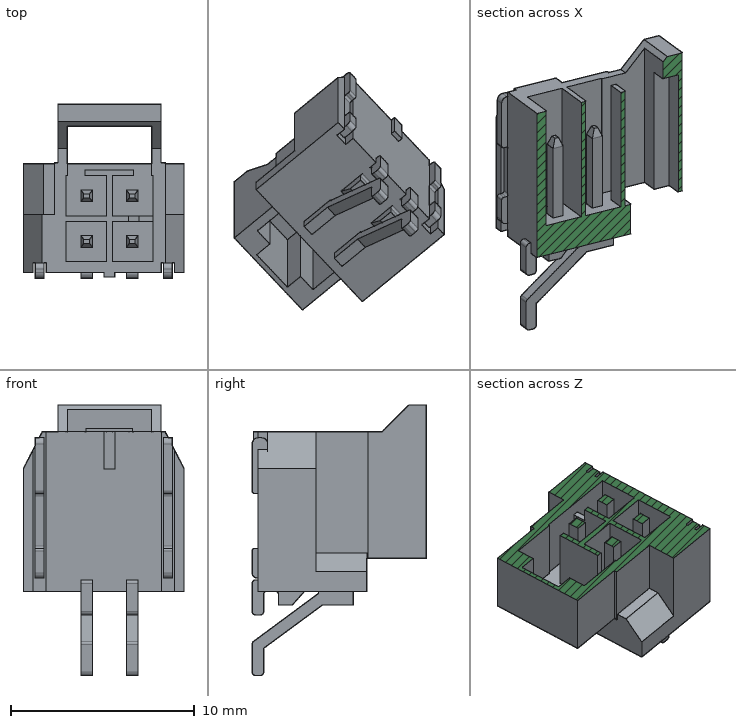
import cadquery as cq


housing_width = 8.74
housing_depth = 5.94
housing_height = 8.70
floor_height = 1.81
shoulder_half_width = 3.35
shoulder_drop = 2.00

contact_center_x = 0.31

core_left = -2.67
core_right = shoulder_half_width
core_front = 3.17
core_back = 6.00
ramp_inner_half_width = 3.27
ramp_top = 2.17
ramp_bottom = 1.10

latch_width = 5.62
latch_side_wall = 0.52
latch_back = 9.18
latch_top = 10.16
latch_top_length = 0.96
latch_wall = 1.22
latch_inner_width = latch_width - 2 * latch_side_wall
latch_bevel = latch_top - housing_height
window_width = 2.53
window_depth = 0.95
window_top = 8.86

cavity_width = 4.72
cavity_front = 0.61
cavity_depth = 4.67
cavity_back = cavity_front + cavity_depth
cavity_center_y = cavity_front + cavity_depth / 2
divider_thickness = 0.31
rail_width = 2.64
rail_depth = 0.31
notch_start = 1.04
notch_ramp = 0.58
notch_bottom = 4.50

key_width = 0.60
key_height = 2.02
key_depth = 0.24

pitch = 2.48
contact_size = 0.64
contact_top = 6.50
tip_length = 0.50
tip_width = 0.32
tip_depth = 0.22
front_row_y = cavity_center_y - pitch / 2
rear_row_y = cavity_center_y + pitch / 2
tail_front = -0.31
tail_back = tail_front + contact_size
foot_bottom = -0.74
contact_round = 0.20
inner_round = 0.13
front_tail_bottom = -1.28
front_foot_back_top = 2.54
front_foot_back_bottom = 1.88
front_foot_front = 1.115
rear_tail_bottom = -4.58
rear_foot_back = 5.21
rear_bend_top = (3.30, -0.10)
rear_bend_bottom = (3.52, foot_bottom)
rear_tail_bend_front = -2.77
rear_tail_bend_back = -3.09

nail_x = 3.49
nail_width = 0.48
slot_width = 0.71
slot_depth = 0.54
nail_web_front = 0.12
nail_top = 8.37
hook_bottom = 5.33
lower_pad_top = 2.35
lower_pad_bottom = 0.73
nail_top_round = 0.33
nail_bend_round = 0.14
nail_end_round = 0.28


def box(x_range, y_range, z_range):
    """Axis-aligned box from its three (low, high) ranges."""
    size = [high - low for low, high in (x_range, y_range, z_range)]
    corner = (x_range[0], y_range[0], z_range[0])
    return cq.Workplane("XY").box(*size, centered=False).translate(corner)


def around(center, width):
    """Range of the given width about a centre."""
    return (center - width / 2, center + width / 2)


def side_profile(points, center_x, width):
    """Plate cut to a Y-Z outline and centred on center_x."""
    plate = cq.Workplane("YZ").polyline(points).close().extrude(width / 2, both=True)
    return plate.translate((center_x, 0, 0))


def round_corner(plate, center_x, y, z, radius):
    """Round the X-parallel edge of a plate that lies at (y, z)."""
    nearest = cq.selectors.NearestToPointSelector((center_x, y, z))
    return plate.edges("|X").edges(nearest).fillet(radius)


def make_housing():
    half = housing_width / 2
    bevel_bottom = housing_height - shoulder_drop
    outline = [
        (-half, 0),
        (half, 0),
        (half, bevel_bottom),
        (shoulder_half_width, housing_height),
        (-shoulder_half_width, housing_height),
        (-half, bevel_bottom),
    ]
    front_block = cq.Workplane("XZ").polyline(outline).close().extrude(-core_front)
    ramp_outline = [
        (-half, 0),
        (half, 0),
        (half, ramp_bottom),
        (ramp_inner_half_width, ramp_top),
        (-ramp_inner_half_width, ramp_top),
        (-half, ramp_bottom),
    ]
    rear_base = cq.Workplane("XZ").polyline(ramp_outline).close().extrude(-housing_depth)
    core_base = box((core_left, core_right), (core_front, housing_depth), (0, housing_height))
    core_walls = box((core_left, core_right), (core_front, core_back), (floor_height, housing_height))
    return front_block.union(rear_base).union(core_base).union(core_walls)


def make_latch():
    top_front = latch_back - latch_top_length
    outline = [
        (housing_depth, floor_height),
        (latch_back, floor_height),
        (latch_back, latch_top),
        (top_front, latch_top),
        (top_front - latch_bevel, housing_height),
        (housing_depth, housing_height),
    ]
    return side_profile(outline, contact_center_x, latch_width)


def make_openings():
    """Contact cavity, the open space behind it and the window in the latch wall."""
    cavity = box(
        around(contact_center_x, cavity_width), (cavity_front, cavity_back), (floor_height, housing_height)
    )
    inner_back = latch_back - latch_wall
    inner_x = around(contact_center_x, latch_inner_width)
    latch_space = box(inner_x, (cavity_back, inner_back), (floor_height, latch_top))
    window_x = around(contact_center_x, window_width)
    window = box(window_x, (inner_back, inner_back + window_depth), (floor_height, window_top))
    return cavity.union(latch_space).union(window)


def make_dividers():
    wall_z = (floor_height, housing_height)
    along_y = box(
        around(contact_center_x, divider_thickness), (cavity_front, cavity_back), wall_z
    )
    rail = box(
        around(contact_center_x, rail_width), (cavity_back, cavity_back + rail_depth), wall_z
    )
    left = contact_center_x - cavity_width / 2
    right = contact_center_x + cavity_width / 2
    slope_start = contact_center_x + notch_start
    slope_end = slope_start + notch_ramp
    notched_outline = [
        (left, floor_height),
        (right, floor_height),
        (right, notch_bottom),
        (slope_end, notch_bottom),
        (slope_end, housing_height - notch_ramp),
        (slope_start, housing_height),
        (left, housing_height),
    ]
    along_x = cq.Workplane("XZ").polyline(notched_outline).close()
    along_x = along_x.extrude(divider_thickness / 2, both=True).translate((0, cavity_center_y, 0))
    return along_y.union(rail).union(along_x)


def make_key():
    return box(
        around(contact_center_x, key_width),
        (-key_depth, cavity_front),
        (housing_height - key_height, housing_height),
    )


def make_post(x, y):
    """Square post rising into the cavity, with a pyramid tip."""
    post_top = contact_top - tip_length
    post = box(around(x, contact_size), around(y, contact_size), (0, post_top))
    tip = (
        cq.Workplane("XY", origin=(x, y, post_top))
        .rect(contact_size, contact_size)
        .workplane(offset=tip_length)
        .rect(tip_width, tip_depth)
        .loft(ruled=True)
    )
    return post.union(tip)


def make_front_contact(x):
    outline = [
        (front_foot_back_top, contact_size),
        (front_foot_back_top, 0),
        (front_foot_back_bottom, foot_bottom),
        (front_foot_front, foot_bottom),
        (front_foot_front, 0),
        (tail_back, 0),
        (tail_back, front_tail_bottom),
        (tail_front, front_tail_bottom),
        (tail_front, contact_size),
    ]
    lead = side_profile(outline, x, contact_size)
    rounded = [
        (front_foot_front, 0, inner_round),
        (tail_back, 0, inner_round),
        (tail_back, front_tail_bottom, contact_round),
        (tail_front, front_tail_bottom, contact_round),
        (tail_front, contact_size, contact_round),
    ]
    for y, z, radius in rounded:
        lead = round_corner(lead, x, y, z, radius)
    return lead.union(make_post(x, front_row_y))


def make_rear_contact(x):
    outline = [
        (rear_foot_back, contact_size),
        (rear_foot_back, foot_bottom),
        rear_bend_bottom,
        (tail_back, rear_tail_bend_back),
        (tail_back, rear_tail_bottom),
        (tail_front, rear_tail_bottom),
        (tail_front, rear_tail_bend_front),
        rear_bend_top,
        (rear_bend_top[0], contact_size),
    ]
    lead = side_profile(outline, x, contact_size)
    rounded = [
        (tail_back, rear_tail_bottom),
        (tail_front, rear_tail_bottom),
        (tail_front, rear_tail_bend_front),
    ]
    for y, z in rounded:
        lead = round_corner(lead, x, y, z, contact_round)
    return lead.union(make_post(x, rear_row_y))


def make_nail_slot(x):
    return box(around(x, slot_width), (0, slot_depth), (0, housing_height))


def make_nail(x):
    """C-shaped solder nail: a web on the slot floor with a pad at each end."""
    outline = [
        (slot_depth, lower_pad_bottom),
        (tail_front, lower_pad_bottom),
        (tail_front, lower_pad_top),
        (nail_web_front, lower_pad_top),
        (nail_web_front, hook_bottom),
        (tail_front, hook_bottom),
        (tail_front, nail_top),
        (slot_depth, nail_top),
    ]
    nail = side_profile(outline, x, nail_width)
    rounded = [
        (tail_front, lower_pad_bottom, nail_end_round),
        (tail_front, lower_pad_top, nail_bend_round),
        (nail_web_front, lower_pad_top, nail_bend_round),
        (nail_web_front, hook_bottom, nail_bend_round),
        (tail_front, hook_bottom, nail_bend_round),
        (tail_front, nail_top, nail_top_round),
        (slot_depth, nail_top, nail_top_round),
    ]
    for y, z, radius in rounded:
        nail = round_corner(nail, x, y, z, radius)
    return nail


result = make_housing().union(make_latch()).cut(make_openings())
result = result.union(make_dividers()).union(make_key())
for side in (-1, 1):
    result = result.cut(make_nail_slot(side * nail_x)).union(make_nail(side * nail_x))
    column_x = contact_center_x + side * pitch / 2
    result = result.union(make_front_contact(column_x)).union(make_rear_contact(column_x))